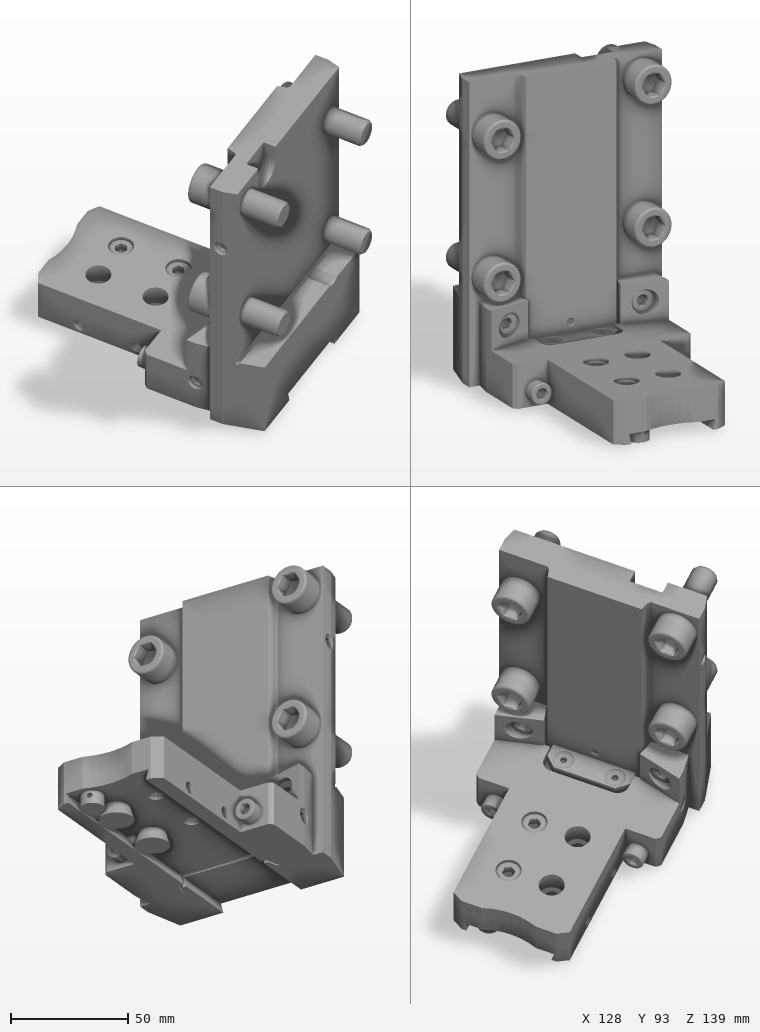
import cadquery as cq
import math


DRAFT = math.tan(math.radians(15))
CONE_SLOPE = math.tan(math.radians(30))

shoulder_x = 63.0
arm_back_x = 90.2
rail_x = 92.6
flange_x = 97.6
edge_break_x = 103.7
plate_back_x = 110.1
foot_back_x = 121.6
bolt_tip_x = 128.0

arm_top = 20.0
tower_top = 37.8
plate_top = 137.7
foot_top = tower_top
nut_bottom = -1.3

arm_half_width = 27.0
arm_corner = (2.9, 5.0)
arm_end_sag = 2.4
arm_end_hollow = 12.5
shoulder_half_width = 43.0
shoulder_chamfer = 1.8
tower_front_x = 84.2
tower_edge_x = 88.7
tower_back_half_width = 41.5
tower_gap_half_width = 24.3

channel_height = 4.7
channel_half_width = 19.7

plate_width = 93.0
plate_half_width = plate_width / 2
rail_half_width = 21.8
rail_root = (1.1, 1.0)
relief_radius = 1.0
slot_y = -18.9
slot_width = 15.3
slot_front_x = 104.2
slot_depth = 15.3
groove_y = 18.9
groove_radius = 5.0
groove_width = 7.1

bolt_y = 36.4
bolt_pitch = 64.5
near_bolt_z = 62.1
far_bolt_z = 49.0
bolt_diameter = 12.0
bolt_head_diameter = 18.0
bolt_head_height = 11.7
bolt_head_fillet = 1.1
bolt_tip_chamfer = (1.3, 0.8)
bolt_flats = 10.0
bolt_socket_depth = 7.0

clamp_y = 32.8
clamp_z = 28.9
clamp_bore_radius = 5.8
clamp_head_x = 89.4
small_head_radius = 4.9
small_flats = 5.0
small_socket_depth = 3.5
small_head_fillet = 0.5
shoulder_screw_z = 7.1
shoulder_head_height = 6.0

mount_x = (23.0, 50.9)
mount_y = 10.0
mount_bore_radius = 5.5
mount_hole_radius = 3.3
mount_bore_depth = 9.0
mount_head_depth = 1.1
nut_radius = 7.5
nut_screw_z = 4.2
nut_screw_radius = 2.6
nut_screw_tip_y = 17.7

pin_x = 7.9
pin_y = 12.6
pin_radius = 5.1
pin_turn = 19.0
pin_hole_radius = 1.3
pin_hole_z = 2.5
pin_hole_depth = 2.1

tower_set_screw = (tower_edge_x, 14.5, 3.8)
plate_set_screw = (103.0, 103.5, 3.5)
set_screw_depth = 1.1
set_screw_rim = 0.7
set_screw_flats = 4.0
set_screw_socket_depth = 2.8

plug_z = 23.5
plug_radius = 2.0
plug_floor_radius = 1.3
plug_depth = 0.7

strip_front_x = 81.6
strip_half_width = 19.2
strip_chamfer = (4.6, 5.0)
strip_drop = 1.0
strip_thickness = 5.0
recess_front_x = 78.5
recess_half_width = 19.6
recess_corner = 5.0
strip_screw_x = 86.9
strip_screw_y = 12.0
strip_screw_radius = 4.6
strip_screw_rim = 0.4
strip_screw_flats = 2.9
strip_screw_socket_depth = 2.1


def mirrored(points):
    """Close a half outline (y >= 0) with its mirror image in y = 0."""
    return points + [(x, -y) for x, y in reversed(points)]


def prism(points, bottom, top):
    return cq.Workplane("XY").workplane(offset=bottom).polyline(points).close().extrude(top - bottom)


def along(origin, direction):
    """Workplane at origin whose extrusions run in direction."""
    across = (0, 1, 0) if direction[0] else (1, 0, 0)
    return cq.Workplane(cq.Plane(origin=origin, xDir=across, normal=direction))


def cylinder(origin, direction, radius, length):
    return along(origin, direction).circle(radius).extrude(length)


def cone(origin, direction, start_radius, end_radius, length):
    solid = cq.Solid.makeCone(start_radius, end_radius, length, cq.Vector(*origin), cq.Vector(*direction))
    return cq.Workplane(solid)


def hex_socket(origin, direction, flats, depth):
    """Cutter for a hexagon socket with a countersunk mouth and a conical bottom."""
    corner_radius = flats / 2 / math.cos(math.radians(30))
    mouth_depth = (corner_radius - flats / 2) * CONE_SLOPE
    mouth = cone(origin, direction, corner_radius, flats / 2, mouth_depth)
    cone_depth = corner_radius * CONE_SLOPE
    hexagon = along(origin, direction).polygon(6, 2 * corner_radius).extrude(depth + cone_depth)
    cone_start = tuple(o + depth * d for o, d in zip(origin, direction))
    drill = cylinder(origin, direction, corner_radius, depth)
    drill = drill.union(cone(cone_start, direction, corner_radius, 0, cone_depth))
    return hexagon.intersect(drill).union(mouth)


def set_screw_cutter(x, z, radius, side_y):
    """Cutter for a recessed set screw in a -Y face: tapered recess and hexagon socket."""
    inward = (0, 1, 0)
    recess = cone((x, side_y, z), inward, radius, radius - set_screw_rim, set_screw_depth)
    return recess.union(hex_socket((x, side_y, z), inward, set_screw_flats, set_screw_socket_depth))



def edge_half_width(x):
    return plate_half_width - (x - edge_break_x) * DRAFT


def plate_body():
    rail_foot_x = flange_x - rail_root[0]
    rail_foot_y = rail_half_width + (rail_foot_x - rail_x) * DRAFT
    front = [
        (rail_x, rail_half_width),
        (rail_foot_x, rail_foot_y),
        (flange_x, rail_foot_y + rail_root[1]),
        (flange_x, plate_half_width),
        (edge_break_x, plate_half_width),
    ]
    wall = prism(mirrored(front + [(plate_back_x, edge_half_width(plate_back_x))]), 0, plate_top)
    foot = prism(mirrored(front + [(foot_back_x, edge_half_width(foot_back_x))]), 0, foot_top)
    return wall.union(foot)


def plate_cuts():
    foot_length = foot_back_x - plate_back_x
    relief_start = (plate_back_x, -plate_half_width, foot_top)
    relief = cylinder(relief_start, (0, 1, 0), relief_radius, 2 * plate_half_width)
    groove_z = foot_top + math.sqrt(groove_radius**2 - (groove_width / 2) ** 2)
    groove = cylinder((plate_back_x, groove_y, groove_z), (1, 0, 0), groove_radius, foot_length)

    slot_length = plate_back_x - slot_front_x
    round_z = plate_top - slot_depth + slot_width / 2
    slot = cylinder((slot_front_x, slot_y, round_z), (1, 0, 0), slot_width / 2, slot_length)
    slot = slot.union(
        cq.Workplane("XY")
        .box(slot_length, slot_width, plate_top - round_z, centered=(False, True, False))
        .translate((slot_front_x, slot_y, round_z))
    )

    plug = cone((rail_x, 0, plug_z), (1, 0, 0), plug_radius, plug_floor_radius, plug_depth)
    set_screw = set_screw_cutter(*plate_set_screw, -plate_half_width)
    return [relief, groove, slot, plug, set_screw]


def plate_bolt(y, z):
    """Socket-head bolt along X, with its head against the flange."""
    head_x = flange_x - bolt_head_height
    tip_length, tip_inset = bolt_tip_chamfer
    head = cylinder((head_x, y, z), (1, 0, 0), bolt_head_diameter / 2, bolt_head_height)
    head = head.faces("<X").edges().fillet(bolt_head_fillet)
    shank_radius = bolt_diameter / 2
    shank = cylinder((flange_x, y, z), (1, 0, 0), shank_radius, bolt_tip_x - tip_length - flange_x)
    tip = cone((bolt_tip_x - tip_length, y, z), (1, 0, 0), shank_radius, shank_radius - tip_inset, tip_length)
    bolt = head.union(shank).union(tip)
    return bolt.cut(hex_socket((head_x, y, z), (1, 0, 0), bolt_flats, bolt_socket_depth))


def channel_cutter():
    """Dovetail channel that runs along the whole underside."""
    top_half_width = channel_half_width + channel_height * DRAFT
    profile = [
        (-channel_half_width, 0),
        (channel_half_width, 0),
        (top_half_width, channel_height),
        (-top_half_width, channel_height),
    ]
    return cq.Workplane("YZ").polyline(profile).close().extrude(foot_back_x)


def build_back_plate():
    plate = plate_body().cut(channel_cutter())
    for cutter in plate_cuts():
        plate = plate.cut(cutter)
    for y, lower_z in ((-bolt_y, near_bolt_z), (bolt_y, far_bolt_z)):
        for z in (lower_z, lower_z + bolt_pitch):
            plate = plate.union(plate_bolt(y, z))
    return plate



def screw_head(start, height):
    """Head of a small socket-head screw along X, with a rounded front rim."""
    head = cylinder(start, (1, 0, 0), small_head_radius, height)
    head = head.faces("<X").edges().fillet(small_head_fillet)
    return head.cut(hex_socket(start, (1, 0, 0), small_flats, small_socket_depth))


def tower_gap_at_arm_back():
    return tower_gap_half_width - (flange_x - arm_back_x) * DRAFT


def arm_slab():
    corner_x, corner_y = arm_corner
    end_half_width = arm_half_width - corner_y
    side = [
        (0, end_half_width),
        (corner_x, arm_half_width),
        (shoulder_x, arm_half_width),
        (shoulder_x, shoulder_half_width - shoulder_chamfer),
        (shoulder_x + shoulder_chamfer, shoulder_half_width),
        (tower_edge_x, shoulder_half_width),
        (flange_x, tower_back_half_width),
        (flange_x, tower_gap_half_width),
        (arm_back_x, tower_gap_at_arm_back()),
    ]
    outline = (
        cq.Workplane("XY")
        .moveTo(0, arm_end_hollow)
        .polyline(mirrored(side), includeCurrent=True)
        .lineTo(0, -arm_end_hollow)
        .threePointArc((arm_end_sag, 0), (0, arm_end_hollow))
        .close()
    )
    return outline.extrude(arm_top)


def tower(side):
    """Clamp tower on one side (+1 or -1), with a sloped front and a recessed clamp screw."""
    inner_y = tower_gap_at_arm_back()
    front_run = (shoulder_half_width - inner_y) * DRAFT
    outline = [
        (tower_front_x, shoulder_half_width),
        (tower_edge_x, shoulder_half_width),
        (flange_x, tower_back_half_width),
        (flange_x, tower_gap_half_width),
        (tower_front_x + front_run, inner_y),
    ]
    block = prism([(x, side * y) for x, y in outline], arm_top, tower_top)

    bore_start = (tower_front_x, side * clamp_y, clamp_z)
    bore_depth = clamp_head_x + small_head_fillet - tower_front_x
    bore = cylinder(bore_start, (1, 0, 0), clamp_bore_radius, bore_depth)
    head_start = (clamp_head_x, side * clamp_y, clamp_z)
    head_length = flange_x - clamp_head_x
    head_seat = cylinder(head_start, (1, 0, 0), small_head_radius, head_length)
    return block.cut(bore).cut(head_seat).union(screw_head(head_start, head_length))


def shoulder_screw(side):
    """Socket-head screw standing on the front of the shoulder."""
    head_start = (shoulder_x - shoulder_head_height, side * clamp_y, shoulder_screw_z)
    return screw_head(head_start, shoulder_head_height)


def strip_recess():
    length = flange_x - recess_front_x
    floor_z = arm_top - strip_drop - strip_thickness
    return (
        cq.Workplane("XY")
        .box(length, 2 * recess_half_width, arm_top - floor_z, centered=(False, True, False))
        .edges("|Z and <X").fillet(recess_corner)
        .translate((recess_front_x, 0, floor_z))
    )


def mount_hole(x):
    """Open stepped hole on the -Y side."""
    bore = cylinder((x, -mount_y, arm_top), (0, 0, -1), mount_bore_radius, mount_bore_depth)
    return bore.union(cylinder((x, -mount_y, arm_top), (0, 0, -1), mount_hole_radius, arm_top))


def mount_screw_cutter(x):
    """Recess and socket of the screw that holds a nut on the +Y side."""
    head_z = arm_top - mount_head_depth
    bore = cylinder((x, mount_y, arm_top), (0, 0, -1), mount_bore_radius, mount_head_depth + small_head_fillet)
    head = cylinder((x, mount_y, head_z), (0, 0, -1), small_head_radius, small_head_fillet)
    socket = hex_socket((x, mount_y, head_z), (0, 0, -1), small_flats, small_socket_depth)
    return bore.cut(head).union(socket)


def clamping_nut(x):
    """Tapered round nut in the channel."""
    height = channel_height - nut_bottom
    return cone((x, mount_y, nut_bottom), (0, 0, 1), nut_radius, nut_radius - height * DRAFT, height)


def nut_screw(x):
    """Screw through the +Y side wall, facing a nut."""
    length = arm_half_width - nut_screw_tip_y
    return cylinder((x, nut_screw_tip_y, nut_screw_z), (0, 1, 0), nut_screw_radius, length)


def nut_screw_hole(x):
    """Hole through the -Y side wall."""
    length = arm_half_width - channel_half_width
    return cylinder((x, -arm_half_width, nut_screw_z), (0, 1, 0), nut_screw_radius, length)


def stop_pin():
    pin = cylinder((pin_x, pin_y, nut_bottom), (0, 0, 1), pin_radius, channel_height - nut_bottom)
    cross_hole = cylinder((pin_x - pin_radius, pin_y, pin_hole_z), (1, 0, 0), pin_hole_radius, pin_hole_depth)
    axis_start = (pin_x, pin_y, 0)
    axis_end = (pin_x, pin_y, 1)
    return pin.cut(cross_hole).rotate(axis_start, axis_end, pin_turn)


def build_arm():
    arm = arm_slab().cut(channel_cutter()).cut(strip_recess())
    for side in (1, -1):
        arm = arm.union(tower(side)).union(shoulder_screw(side))
    for x in mount_x:
        arm = arm.cut(nut_screw_hole(x)).cut(mount_hole(x)).cut(mount_screw_cutter(x))
        arm = arm.union(clamping_nut(x)).union(nut_screw(x))
    arm = arm.union(stop_pin())
    return arm.cut(set_screw_cutter(*tower_set_screw, -shoulder_half_width))



def build_strip():
    chamfer_x, chamfer_y = strip_chamfer
    side = [
        (strip_front_x, strip_half_width - chamfer_y),
        (strip_front_x + chamfer_x, strip_half_width),
        (rail_x, strip_half_width),
    ]
    top = arm_top - strip_drop
    strip = prism(mirrored(side), top - strip_thickness, top)
    for y in (strip_screw_y, -strip_screw_y):
        start = (strip_screw_x, y, top)
        floor_radius = strip_screw_radius - strip_screw_rim
        strip = strip.cut(cone(start, (0, 0, -1), strip_screw_radius, floor_radius, strip_screw_rim))
        strip = strip.cut(hex_socket(start, (0, 0, -1), strip_screw_flats, strip_screw_socket_depth))
    return strip


back_plate = build_back_plate()
arm = build_arm()
strip = build_strip()

result = cq.Compound.makeCompound([body.solids().val() for body in (back_plate, arm, strip)])